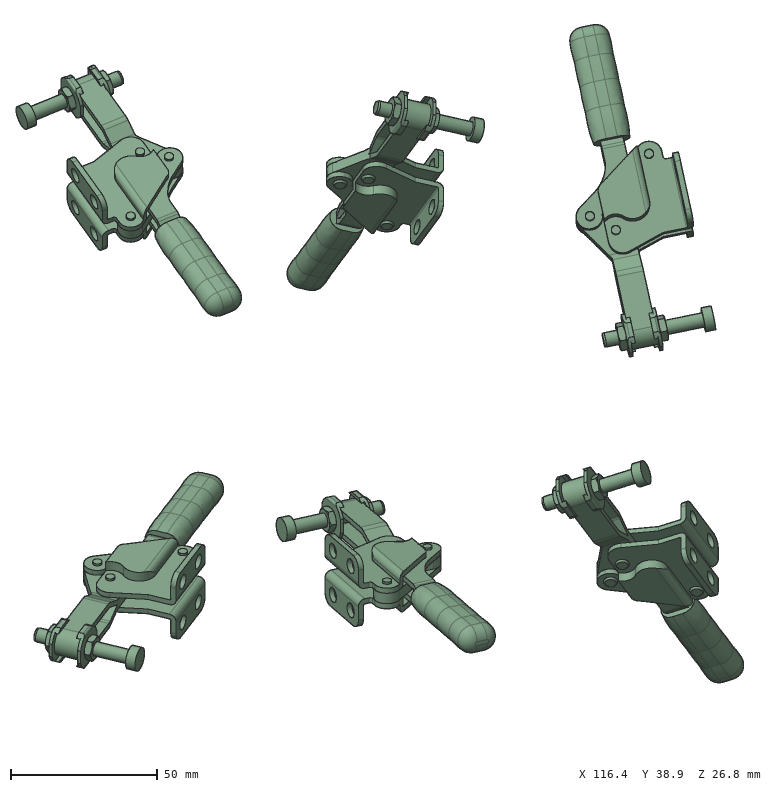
import cadquery as cq
import math


SHEET = 2.0
INNER_Z = SHEET
OUTER_Z = INNER_Z + SHEET
ARM_PIVOT = (36.1, 26.2)
LINK_PIVOT = (60.0, 9.5)
LEVER_PIVOT = (42.7, 33.9)
LINK_TIP = (51.7, 21.3)

RIVET_R = 3.1 / 2
RIVET_HEAD_R = 2.5
RIVET_HEAD_TOP_R = 2.0
RIVET_END_H = 0.8

BASE_LEFT = 32.0
BASE_WIDTH = 25.2
BASE_RIGHT = BASE_LEFT + BASE_WIDTH
BASE_TOP = 29.4
NOSE_R = 5.0
NOSE_LEFT = 27.7
FRONT_BREAK_Y = 10.5
LEAN_TOP = (28.0, 22.8)
SHOULDER_START_X = 50.1
SHOULDER_MID = (51.7, 28.7)
SHOULDER_END = (52.6, 27.5)
LINK_EYE_R = 4.5
HEEL_FILLET = 0.9
FLANGE_HALF_Z = 13.4
FLANGE_CORNER_R = 4.0
BEND_OUTER_R = 2.5
BEND_INNER_R = BEND_OUTER_R - SHEET
HOLE_R = 5.2 / 2
HOLE_SPACING = 13.4
HOLE_Z = 8.4

GUARD_Z = 7.6
GUARD_BOTTOM = 12.8
GUARD_EDGE_R = 2.2
GUARD_LEFT = 37.9
GUARD_CORNER_R = 5.9
GUARD_CORNER = (GUARD_LEFT + GUARD_CORNER_R, GUARD_BOTTOM + GUARD_CORNER_R)
GUARD_HOLLOW_R = math.dist(ARM_PIVOT, GUARD_CORNER) - GUARD_CORNER_R

ARM_BOTTOM = 19.9
ARM_TOP = 29.3
ARM_HALF_Z = 5.1
ARM_SLOT_HALF_Z = ARM_HALF_Z - SHEET
BEND_START_X = 20.8
BEND_END_X = 27.5
BEND_R = 4.5
ARM_RISE_X = 27.0
ARM_EYE_R = 4.7
ARCH_LEFT = 39.3
ARCH_RISE = 1.6
ARM_RIGHT = 46.5

LEVER_EYE_R = 4.3
GRIP_START = 68.3
GRIP_CENTRE_Y = 20.8
HANDLE_HALF_Y = 4.0
HANDLE_BOTTOM = GRIP_CENTRE_Y - HANDLE_HALF_Y
HANDLE_TOP = GRIP_CENTRE_Y + HANDLE_HALF_Y
HANDLE_END = 93.1
SHANK_START = (60.2, HANDLE_TOP)
NECK_MID = (54.7, 26.9)
NECK_TOP = (50.7, 30.6)
HEEL_X = 47.0
PINCH_START = 65.2
PINCH_END = 68.3
PINCH_R = 2.0
GRIP_HALF_FLAT = 3.8 / 2
GRIP_END = 109.4
GRIP_START_R = 4.4
GRIP_WAIST_R = 4.9
GRIP_BULGE_R = 5.0
GRIP_LAST_BULGE_R = 5.1
FIRST_WAIST_X = 79.6
WAIST_PITCH = 9.1
DOME_START_X = 104.7
DOME_START_R = 5.0
DOME_MID = (108.0, 3.7)
DOME_END_R = 0.7

ROD_R = 5.0 / 2
ROD_TOP = 38.2
ROD_CHAMFER_H = 0.7
ROD_CHAMFER_W = 0.2
FOOT_R = 4.2
FOOT_BOTTOM = -0.2
FOOT_TOP = 3.3
NUT_H = 2.6
UPPER_NUT_ACROSS_CORNERS = 9.9
LOWER_NUT_ACROSS_CORNERS = 9.1
NUT_CHAMFER_H = 0.3
NUT_CHAMFER_W = 0.6
WASHER_T = 1.2
WASHER_HALF = 7.0
WASHER_R = 7.5
WASHER_DEPTH = 2.6
WASHER_BEND_R = 0.9


def offset_point(centre, radius, degrees):
    """Point on a circle."""
    angle = math.radians(degrees)
    return (centre[0] + radius * math.cos(angle), centre[1] + radius * math.sin(angle))


def direction(start, end):
    """Angle in degrees of the line from start to end."""
    return math.degrees(math.atan2(end[1] - start[1], end[0] - start[0]))


def tangent_point(start, centre, radius):
    """Where a line from start touches a circle that it keeps on its right-hand side."""
    swing = math.degrees(math.acos(radius / math.dist(start, centre)))
    return offset_point(centre, radius, direction(centre, start) - swing)


def plate(outline, bottom, top):
    """Extrude an XY outline from Z = bottom to Z = top."""
    return outline.extrude(top - bottom).translate((0, 0, bottom))


def disc(centre, radius, half_height):
    """Cylinder along Z, centred on Z = 0."""
    return plate(cq.Workplane("XY").center(*centre).circle(radius), -half_height, half_height)


def both_sides(half):
    """Join a shape to its mirror image about Z = 0."""
    return half.union(half.mirror("XY"))


def y_cylinder(radius, bottom, top):
    """Cylinder on the spindle axis."""
    plane = cq.Plane(origin=(0, bottom, 0), xDir=(0, 0, 1), normal=(0, 1, 0))
    return cq.Workplane(plane).circle(radius).extrude(top - bottom)


def rivet(centre):
    """Rivet with a plain end above and a tapered head below."""
    shank = plate(cq.Workplane("XY").center(*centre).circle(RIVET_R), -OUTER_Z, OUTER_Z + RIVET_END_H)
    head = (
        cq.Workplane("XY", origin=(*centre, -OUTER_Z - RIVET_END_H))
        .circle(RIVET_HEAD_TOP_R)
        .workplane(offset=RIVET_END_H)
        .circle(RIVET_HEAD_R)
        .loft()
    )
    return shank.union(head)


def base_outline():
    """Side outline of a base plate."""
    nose_centre = (NOSE_LEFT + NOSE_R, BASE_TOP - NOSE_R)
    return (
        cq.Workplane("XY")
        .moveTo(BASE_LEFT, 0)
        .lineTo(BASE_LEFT, FRONT_BREAK_Y)
        .lineTo(*LEAN_TOP)
        .threePointArc(offset_point(nose_centre, NOSE_R, 150), (nose_centre[0], BASE_TOP))
        .lineTo(SHOULDER_START_X, BASE_TOP)
        .threePointArc(SHOULDER_MID, SHOULDER_END)
        .lineTo(*tangent_point(SHOULDER_END, LINK_PIVOT, LINK_EYE_R))
        .threePointArc(
            offset_point(LINK_PIVOT, LINK_EYE_R, -30),
            offset_point(LINK_PIVOT, LINK_EYE_R, -90),
        )
        .lineTo(BASE_RIGHT + HEEL_FILLET, LINK_PIVOT[1] - LINK_EYE_R)
        .radiusArc((BASE_RIGHT, LINK_PIVOT[1] - LINK_EYE_R - HEEL_FILLET), -HEEL_FILLET)
        .lineTo(BASE_RIGHT, 0)
        .close()
    )


def guard_outline(inset):
    """Outline of the raised guard; the top and right sides run past the plate edge."""
    bottom = GUARD_BOTTOM + inset
    corner_r = GUARD_CORNER_R - inset
    hollow_r = GUARD_HOLLOW_R + inset
    waist_angle = direction(ARM_PIVOT, GUARD_CORNER)
    hollow_end = offset_point(ARM_PIVOT, hollow_r, 45)
    return (
        cq.Workplane("XY")
        .moveTo(GRIP_START, bottom)
        .lineTo(GUARD_CORNER[0], bottom)
        .threePointArc(
            offset_point(GUARD_CORNER, corner_r, 200),
            offset_point(ARM_PIVOT, hollow_r, waist_angle),
        )
        .threePointArc(offset_point(ARM_PIVOT, hollow_r, 0), hollow_end)
        .lineTo(hollow_end[0], ROD_TOP)
        .lineTo(GRIP_START, ROD_TOP)
        .close()
    )


def base_plate():
    """One plate, its mounting flange and its raised guard, on the +Z side."""
    flange = (
        cq.Workplane("XZ", origin=(BASE_LEFT, 0, 0))
        .moveTo(0, INNER_Z)
        .lineTo(BASE_WIDTH, INNER_Z)
        .lineTo(BASE_WIDTH, FLANGE_HALF_Z)
        .lineTo(0, FLANGE_HALF_Z)
        .close()
        .extrude(-SHEET)
        .edges("|Y and >Z")
        .fillet(FLANGE_CORNER_R)
    )
    hole_x = [BASE_LEFT + (BASE_WIDTH + side * HOLE_SPACING) / 2 for side in (-1, 1)]
    holes = (
        cq.Workplane("XZ")
        .pushPoints([(x, HOLE_Z) for x in hole_x])
        .circle(HOLE_R)
        .extrude(-SHEET)
    )
    guard_section = (
        cq.Workplane("YZ")
        .moveTo(GUARD_BOTTOM, INNER_Z)
        .lineTo(GUARD_BOTTOM, GUARD_Z - GUARD_EDGE_R)
        .radiusArc((GUARD_BOTTOM + GUARD_EDGE_R, GUARD_Z), GUARD_EDGE_R)
        .lineTo(BASE_TOP, GUARD_Z)
        .lineTo(BASE_TOP, INNER_Z)
        .close()
        .extrude(GRIP_END)
    )
    guard = (
        plate(base_outline(), INNER_Z, GUARD_Z)
        .intersect(plate(guard_outline(0), INNER_Z, GUARD_Z))
        .intersect(guard_section)
    )
    middle_x = BASE_LEFT + BASE_WIDTH / 2
    inner_bend = cq.selectors.NearestToPointSelector((middle_x, SHEET, OUTER_Z))
    outer_bend = cq.selectors.NearestToPointSelector((middle_x, 0, INNER_Z))
    return (
        plate(base_outline(), INNER_Z, OUTER_Z)
        .union(flange)
        .edges(inner_bend)
        .fillet(BEND_INNER_R)
        .edges(outer_bend)
        .fillet(BEND_OUTER_R)
        .cut(holes)
        .union(guard)
        .cut(plate(guard_outline(SHEET), INNER_Z, GUARD_Z - SHEET))
    )


def make_base():
    """Both plates and the rivets that carry the arm and the link."""
    base = both_sides(base_plate())
    for pivot in (ARM_PIVOT, LINK_PIVOT):
        base = base.union(rivet(pivot))
    return base


def arm_outline():
    """Side outline of the arm."""
    rise_start = (ARM_RISE_X, ARM_TOP)
    return (
        cq.Workplane("XY")
        .moveTo(-ARM_HALF_Z, ARM_BOTTOM)
        .lineTo(-ARM_HALF_Z, ARM_TOP)
        .lineTo(*rise_start)
        .lineTo(*tangent_point(rise_start, LEVER_PIVOT, ARM_EYE_R))
        .threePointArc(
            offset_point(LEVER_PIVOT, ARM_EYE_R, 60),
            offset_point(LEVER_PIVOT, ARM_EYE_R, 0),
        )
        .lineTo(ARM_RIGHT, ARM_BOTTOM)
        .threePointArc(
            ((ARCH_LEFT + ARM_RIGHT) / 2, ARM_BOTTOM + ARCH_RISE),
            (ARCH_LEFT, ARM_BOTTOM),
        )
        .close()
    )


def make_arm(base):
    """Folded and pinched strip, relieved where its bend meets the base plates."""
    reach = LEVER_PIVOT[0] + ARM_EYE_R
    folded = (
        cq.Workplane("XZ", origin=(0, ARM_BOTTOM, 0))
        .moveTo(0, ARM_HALF_Z)
        .lineTo(BEND_START_X, ARM_HALF_Z)
        .lineTo(BEND_END_X, SHEET)
        .lineTo(reach, SHEET)
        .lineTo(reach, -SHEET)
        .lineTo(BEND_END_X, -SHEET)
        .lineTo(BEND_START_X, -ARM_HALF_Z)
        .lineTo(0, -ARM_HALF_Z)
        .threePointArc((-ARM_HALF_Z, 0), (0, ARM_HALF_Z))
        .close()
        .extrude(ARM_BOTTOM - ROD_TOP - ARM_EYE_R)
    )
    slot = (
        cq.Workplane("XZ", origin=(0, ARM_BOTTOM, 0))
        .moveTo(0, ARM_SLOT_HALF_Z)
        .lineTo(BEND_START_X, ARM_SLOT_HALF_Z)
        .lineTo(BEND_END_X, 0)
        .lineTo(BEND_START_X, -ARM_SLOT_HALF_Z)
        .lineTo(0, -ARM_SLOT_HALF_Z)
        .threePointArc((-ARM_SLOT_HALF_Z, 0), (0, ARM_SLOT_HALF_Z))
        .close()
        .extrude(ARM_BOTTOM - ROD_TOP - ARM_EYE_R)
    )
    outer_bends = cq.selectors.BoxSelector(
        (BEND_START_X - 1.2, 0, -ARM_HALF_Z - 1.2), (BEND_END_X + 1.2, 2 * ROD_TOP, ARM_HALF_Z + 1.2)
    )
    inner_bends = cq.selectors.BoxSelector(
        (BEND_START_X - 1.2, 0, -ARM_HALF_Z), (BEND_START_X + 1.2, 2 * ROD_TOP, ARM_HALF_Z)
    )
    folded = folded.edges("|Y").edges(outer_bends).fillet(BEND_R)
    slot = slot.edges("|Y").edges(inner_bends).fillet(BEND_R - SHEET)
    arm = folded.cut(slot).intersect(plate(arm_outline(), -ARM_HALF_Z, ARM_HALF_Z))
    for pivot in (ARM_PIVOT, LEVER_PIVOT):
        arm = arm.cut(disc(pivot, RIVET_R, ARM_HALF_Z))
    return arm.cut(base)


def make_link():
    """Straight link with round ends."""
    angle = direction(LINK_PIVOT, LINK_TIP)
    middle = ((LINK_PIVOT[0] + LINK_TIP[0]) / 2, (LINK_PIVOT[1] + LINK_TIP[1]) / 2)
    length = math.dist(LINK_PIVOT, LINK_TIP) + 2 * LINK_EYE_R
    outline = cq.Workplane("XY").center(*middle).slot2D(length, 2 * LINK_EYE_R, angle)
    return plate(outline, -INNER_Z, INNER_Z).cut(disc(LINK_PIVOT, RIVET_R, INNER_Z))


def lever_outline():
    """Side outline of the lever."""
    return (
        cq.Workplane("XY")
        .moveTo(HANDLE_END, HANDLE_BOTTOM)
        .lineTo(HANDLE_END, HANDLE_TOP)
        .lineTo(*SHANK_START)
        .threePointArc(NECK_MID, NECK_TOP)
        .lineTo(*offset_point(LEVER_PIVOT, ARM_EYE_R, 36))
        .threePointArc(
            offset_point(LEVER_PIVOT, ARM_EYE_R, 110),
            offset_point(LEVER_PIVOT, LEVER_EYE_R, 180),
        )
        .threePointArc(
            offset_point(LEVER_PIVOT, LEVER_EYE_R, 225),
            offset_point(LEVER_PIVOT, LEVER_EYE_R, 270),
        )
        .lineTo(HEEL_X, HANDLE_BOTTOM)
        .close()
    )


def make_lever():
    """Both plates and the rivet that joins them to the arm."""
    pinch_angle = math.atan2(INNER_Z, PINCH_END - PINCH_START)
    outer_shift = SHEET * math.tan(pinch_angle / 2)
    section = (
        cq.Workplane("XZ")
        .moveTo(BASE_LEFT, INNER_Z)
        .lineTo(PINCH_START, INNER_Z)
        .lineTo(PINCH_END, 0)
        .lineTo(HANDLE_END, 0)
        .lineTo(HANDLE_END, SHEET)
        .lineTo(PINCH_END + outer_shift, SHEET)
        .lineTo(PINCH_START + outer_shift, OUTER_Z)
        .lineTo(BASE_LEFT, OUTER_Z)
        .close()
        .extrude(-ROD_TOP - ARM_EYE_R)
    )
    bend = cq.selectors.NearestToPointSelector((PINCH_START + outer_shift, ROD_TOP / 2, OUTER_Z))
    section = section.edges("|Y").edges(bend).fillet(PINCH_R)
    lever = both_sides(plate(lever_outline(), 0, OUTER_Z).intersect(section))
    return lever.union(rivet(LEVER_PIVOT))


def grip_profile():
    """Half outline of the grip in XZ, with one bulge per finger and a domed end."""
    waists = [FIRST_WAIST_X + i * WAIST_PITCH for i in range(3)]
    profile = cq.Workplane("XZ").moveTo(GRIP_START, 0).lineTo(GRIP_START, GRIP_START_R)
    bulge_start = GRIP_START
    for waist in waists:
        profile = profile.threePointArc(
            ((bulge_start + waist) / 2, GRIP_BULGE_R), (waist, GRIP_WAIST_R)
        )
        bulge_start = waist
    return (
        profile.threePointArc(
            ((bulge_start + DOME_START_X) / 2, GRIP_LAST_BULGE_R), (DOME_START_X, DOME_START_R)
        )
        .threePointArc(DOME_MID, (GRIP_END, DOME_END_R))
        .lineTo(GRIP_END, 0)
        .close()
    )


def make_grip(lever):
    """Flat core between two half-round sides, with a pocket for the lever tongue."""
    grip = both_sides(grip_profile().extrude(GRIP_HALF_FLAT, both=True))
    round_side = (
        grip_profile()
        .revolve(180, (0, 0, 0), (1, 0, 0))
        .translate((0, -GRIP_HALF_FLAT, 0))
    )
    grip = grip.union(round_side).union(round_side.mirror("XZ"))
    return grip.translate((0, GRIP_CENTRE_Y, 0)).cut(lever)


def nut(bottom, across_corners):
    """Hexagon nut with corners chamfered at both faces."""
    hexagon = cq.Workplane("XZ", origin=(0, bottom, 0)).polygon(6, across_corners).extrude(-NUT_H)
    radius = across_corners / 2
    envelope = y_cylinder(radius, bottom, bottom + NUT_H).edges().chamfer(NUT_CHAMFER_H, NUT_CHAMFER_W)
    return hexagon.intersect(envelope)


def make_spindle():
    """Rod with a round foot and the nuts that clamp it to the arm."""
    foot = y_cylinder(FOOT_R, FOOT_BOTTOM, FOOT_TOP)
    rod = y_cylinder(ROD_R, FOOT_TOP, ROD_TOP).faces(">Y").chamfer(ROD_CHAMFER_H, ROD_CHAMFER_W)
    upper_nut = nut(ARM_TOP + WASHER_T, UPPER_NUT_ACROSS_CORNERS)
    lower_nut = nut(ARM_BOTTOM - WASHER_T - NUT_H, LOWER_NUT_ACROSS_CORNERS)
    return foot.union(rod).union(upper_nut).union(lower_nut)


def make_washer(seat_y, outward):
    """Washer on the arm edge at seat_y; outward is the Y direction away from the arm."""
    channel = (
        cq.Workplane("XY")
        .box(2 * WASHER_HALF, WASHER_DEPTH, 2 * WASHER_HALF)
        .edges("|X and >Y")
        .fillet(WASHER_BEND_R)
        .cut(
            cq.Workplane("XY")
            .box(2 * WASHER_HALF, WASHER_DEPTH, 2 * (WASHER_HALF - WASHER_T))
            .translate((0, -WASHER_T, 0))
        )
        .translate((0, WASHER_T - WASHER_DEPTH / 2, 0))
    )
    washer = (
        channel.intersect(y_cylinder(WASHER_R, -WASHER_DEPTH, WASHER_DEPTH))
        .cut(y_cylinder(ROD_R, -WASHER_DEPTH, WASHER_DEPTH))
    )
    if outward < 0:
        washer = washer.mirror("XZ")
    return washer.translate((0, seat_y, 0))


base = make_base()
arm = make_arm(base)
link = make_link()
lever = make_lever()
grip = make_grip(lever)
spindle = make_spindle()
washers = [make_washer(ARM_TOP, 1), make_washer(ARM_BOTTOM, -1)]

result = cq.Compound.makeCompound([
    base.val(),
    arm.val(),
    link.val(),
    lever.val(),
    grip.val(),
    spindle.val(),
    *[washer.val() for washer in washers],
])